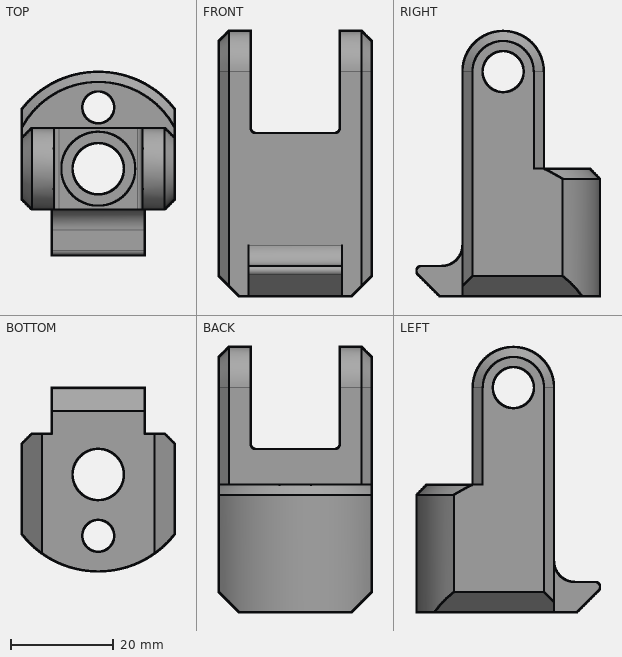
import cadquery as cq
import math

width = 30.0
half_width = width / 2
lug_radius = 8.0
pin_height = 44.0
pin_diameter = 8.0
slot_width = 17.4
slot_floor = 32.0
slot_corner_radius = 1.0
edge_chamfer = 2.0

back_radius = 19.0
shelf_height = 25.0
bottom_chamfer = 4.0

bore_diameter = 10.0
counterbore_diameter = 14.5
counterbore_depth = 7.0
rear_hole_diameter = 6.2
rear_hole_y = 12.0

hook_width = 18.2
hook_top = 6.0
hook_root_radius = 4.0
hook_tip_radius = 1.0
hook_tip_y = -17.0

cos_45 = math.cos(math.radians(45))


def make_upright():
    """Round-topped slab with chamfered outer edges on both X faces."""
    slab = (
        cq.Workplane("YZ")
        .moveTo(-lug_radius, 0)
        .lineTo(lug_radius, 0)
        .lineTo(lug_radius, pin_height)
        .threePointArc((0, pin_height + lug_radius), (-lug_radius, pin_height))
        .close()
        .extrude(half_width, both=True)
    )
    return slab.faces("<X or >X").chamfer(edge_chamfer)


def make_rear_block():
    """Block behind the lug axis, rounded at the back with a chamfered rim."""
    cylinder = cq.Workplane("XY").circle(back_radius).extrude(shelf_height)
    rounded = cylinder.faces(">Z").chamfer(edge_chamfer)
    rear_half = cq.Workplane("XY").box(width, back_radius, shelf_height, centered=(True, False, False))
    return rounded.intersect(rear_half)


def make_hook():
    """Front hook: concave root, flat top, rounded tip and a 45 degree underside."""
    front_y = -lug_radius
    tip_center_y = hook_tip_y + hook_tip_radius
    tip_center_z = hook_top - hook_tip_radius
    tip_offset = hook_tip_radius * cos_45
    underside_y = tip_center_y - tip_offset
    underside_z = tip_center_z - tip_offset
    root_offset = hook_root_radius * (1 - cos_45)
    return (
        cq.Workplane("YZ")
        .moveTo(0, 0)
        .lineTo(0, hook_top + hook_root_radius)
        .lineTo(front_y, hook_top + hook_root_radius)
        .threePointArc(
            (front_y - root_offset, hook_top + root_offset),
            (front_y - hook_root_radius, hook_top),
        )
        .lineTo(tip_center_y, hook_top)
        .threePointArc((hook_tip_y, tip_center_z), (underside_y, underside_z))
        .lineTo(underside_y + underside_z, 0)
        .close()
        .extrude(hook_width / 2, both=True)
    )


def chamfer_bottom_sides(body):
    """Bevel the lower edges of both X sides over the full depth."""
    for side in (-1, 1):
        wedge = (
            cq.Workplane("XZ")
            .moveTo(side * half_width, 0)
            .lineTo(side * (half_width - bottom_chamfer), 0)
            .lineTo(side * half_width, bottom_chamfer)
            .close()
            .extrude(back_radius, both=True)
        )
        body = body.cut(wedge)
    return body


def make_slot():
    """Open-topped gap between the lugs, rounded along its floor edges."""
    slot_height = pin_height + lug_radius - slot_floor
    return (
        cq.Workplane("XY")
        .workplane(offset=slot_floor)
        .box(slot_width, 2 * lug_radius, slot_height, centered=(True, True, False))
        .edges("|Y and <Z")
        .fillet(slot_corner_radius)
    )


def vertical_cylinder(diameter, y, bottom, top):
    """Cylinder about the vertical line X = 0 at the given Y."""
    return (
        cq.Workplane("XY")
        .workplane(offset=bottom)
        .center(0, y)
        .circle(diameter / 2)
        .extrude(top - bottom)
    )


def make_holes():
    """Counterbored main bore, rear hole and the pin hole across the lugs."""
    bore = vertical_cylinder(bore_diameter, 0, 0, slot_floor)
    counterbore = vertical_cylinder(counterbore_diameter, 0, slot_floor - counterbore_depth, slot_floor)
    rear_hole = vertical_cylinder(rear_hole_diameter, rear_hole_y, 0, shelf_height)
    pin_hole = (
        cq.Workplane("YZ")
        .center(0, pin_height)
        .circle(pin_diameter / 2)
        .extrude(half_width, both=True)
    )
    return bore.union(counterbore).union(rear_hole).union(pin_hole)


body = make_upright().union(make_rear_block())
body = chamfer_bottom_sides(body)
body = body.union(make_hook())
result = body.cut(make_slot()).cut(make_holes())